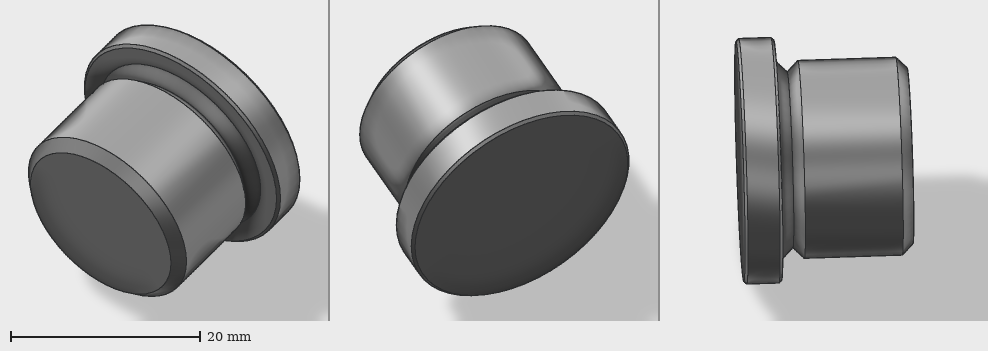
import cadquery as cq

total_length = 18.0
flange_diameter = 26.0
flange_thickness = 4.0
flange_chamfer = 0.3
shank_diameter = 20.95
neck_diameter = 18.6
tip_diameter = 18.6

flange_radius = flange_diameter / 2
shank_radius = shank_diameter / 2
neck_radius = neck_diameter / 2
tip_radius = tip_diameter / 2
shoulder_chamfer = shank_radius - neck_radius
tip_chamfer = shank_radius - tip_radius

seat_y = 0.0
back_y = seat_y + flange_thickness
tip_y = back_y - total_length
groove_cone_length = 1.3
groove_y = seat_y - groove_cone_length
groove_mouth_radius = neck_radius + groove_cone_length


def make_flange():
    """Round flange with both rims chamfered."""
    flange = cq.Workplane("XZ", origin=(0, back_y, 0)).circle(flange_radius).extrude(flange_thickness)
    return flange.edges().chamfer(flange_chamfer)


def make_shank():
    """Chamfered shank with a V-groove under the flange."""
    half_profile = [
        (0, seat_y),
        (groove_mouth_radius, seat_y),
        (neck_radius, groove_y),
        (shank_radius, groove_y - shoulder_chamfer),
        (shank_radius, tip_y + tip_chamfer),
        (tip_radius, tip_y),
        (0, tip_y),
    ]
    return cq.Workplane("XY").polyline(half_profile).close().revolve(360, (0, 0, 0), (0, 1, 0))


result = make_flange().union(make_shank())